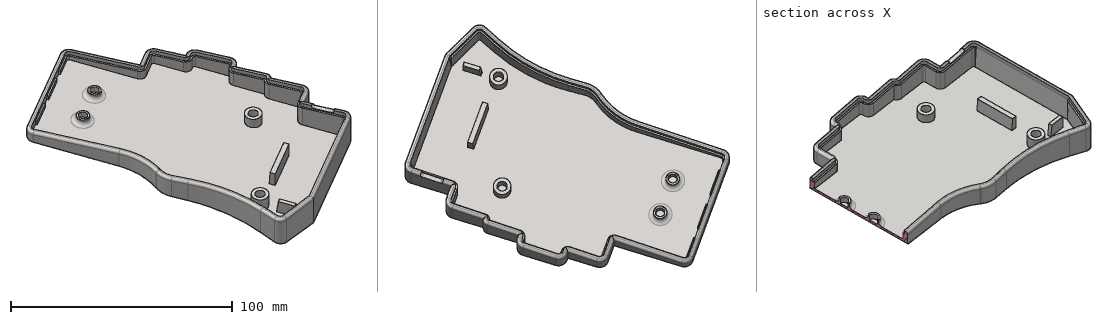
import cadquery as cq
import math

LENGTH = 137.5
HEIGHT = 16.0
LEFT_HEIGHT = 5.8
DROP = HEIGHT - LEFT_HEIGHT
SLOPE = DROP / LENGTH

FLOOR_THICKNESS = 1.7
WALL = 3.0
LIP_WALL = 2.2
LIP_DEPTH = 2.0
LEDGE_Z = HEIGHT - LIP_DEPTH
RIM_ROUND = 1.4

BACK_Y = 77.0
FRONT_Y = 19.8
RIGHT_END_Y = 18.6
SHELF_Y = 89.1
LOW_SHELF_Y = 87.1
TOWER_Y = 94.1
SHELF_X = 36.3
TOWER_LEFT_X = 54.2
TOWER_RIGHT_X = 78.0
BACK_RIGHT_X = 114.5
CORNER = 4.1
SHARP = 0.0
OUTLINE = [
    (0, FRONT_Y, CORNER),
    (0, BACK_Y, CORNER),
    (SHELF_X, BACK_Y, SHARP),
    (SHELF_X, SHELF_Y, CORNER),
    (TOWER_LEFT_X, SHELF_Y, SHARP),
    (TOWER_LEFT_X, TOWER_Y, CORNER),
    (TOWER_RIGHT_X, TOWER_Y, CORNER),
    (TOWER_RIGHT_X, SHELF_Y, SHARP),
    (94.6, SHELF_Y, 3.0),
    (95.5, LOW_SHELF_Y, SHARP),
    (BACK_RIGHT_X, LOW_SHELF_Y, CORNER),
    (BACK_RIGHT_X, BACK_Y, SHARP),
    (LENGTH, BACK_Y, CORNER),
    (LENGTH, RIGHT_END_Y, SHARP),
    (128.3, -1.2, 4.0),
    (99.6, 11.5, 81.2),
    (68.4, 10.2, 12.0),
    (55.8, FRONT_Y, 32.3),
]

LEAN_FRONT_Y = 19.3
LEAN_BACK_Y = BACK_Y - CORNER

SCREW_BOSS_CENTERS = [(93.1, 67.8), (112.0, 19.1)]
SCREW_BOSS_DIAMETER = 8.0
SCREW_HOLE_DIAMETER = 4.5
SCREW_BOSS_TOP_Z = 10.0

FLARED_BOSS_CENTERS = [(21.3, 57.0), (21.3, 39.9)]
FLARED_BOSS_DIAMETER = 6.0
FLARED_HOLE_DIAMETER = 4.1
FLARED_BOSS_TOP_Z = 13.3
FLARE_RADIUS = 2.2

RIBS = [
    (111.8, 114.7, 33.0, 53.4, 7.2, 0.4),
    (120.4, 129.0, 17.3, 19.1, 6.7, 0.8),
]

WALL_NOTCH_CENTERS_Y = [61.0, 43.9, 26.8]
WALL_NOTCH_WIDTH = 5.1

PORT_CENTER_X = 123.8
PORT_WIDTH = 10.6
PORT_DEPTH = 1.5
PORT_RADIUS = 1.0


def floor_z(x):
    return DROP + FLOOR_THICKNESS - SLOPE * x


def direction(start, end):
    dx = end[0] - start[0]
    dy = end[1] - start[1]
    size = math.hypot(dx, dy)
    return dx / size, dy / size


def step(point, heading, distance):
    return point[0] + heading[0] * distance, point[1] + heading[1] * distance


def outline():
    """Closed outline in which each rounded corner is a tangent arc."""
    path = cq.Workplane("XY")
    for i, (x, y, radius) in enumerate(OUTLINE):
        corner = (x, y)
        back = direction(corner, OUTLINE[i - 1])
        ahead = direction(corner, OUTLINE[(i + 1) % len(OUTLINE)])
        half_angle = math.acos(back[0] * ahead[0] + back[1] * ahead[1]) / 2
        tangent = radius / math.tan(half_angle)
        arc_start = step(corner, back, tangent)
        path = path.lineTo(*arc_start) if i else path.moveTo(*arc_start)
        if radius:
            bisector = direction((0, 0), (back[0] + ahead[0], back[1] + ahead[1]))
            arc_middle = step(corner, bisector, radius / math.sin(half_angle) - radius)
            path = path.threePointArc(arc_middle, step(corner, ahead, tangent))
    return path.close()


def side_profile(points, front_y, back_y):
    """Prism along Y from an outline given as (x, z) points."""
    prism = cq.Workplane("XZ").polyline(points).close().extrude(front_y - back_y)
    return prism.translate((0, front_y, 0))


def above_floor(solid):
    below = [(0, 0), (LENGTH, 0), (LENGTH, floor_z(LENGTH)), (0, floor_z(0))]
    return solid.cut(side_profile(below, 0, TOWER_Y))


def wedge_body():
    body = outline().extrude(HEIGHT).faces(">Z").edges().fillet(RIM_ROUND)
    return body.cut(side_profile([(0, 0), (LENGTH, 0), (0, DROP)], 0, TOWER_Y))


def cavity():
    lip_recess = outline().offset2D(-LIP_WALL).extrude(LIP_DEPTH).translate((0, 0, LEDGE_Z))
    well = outline().offset2D(-WALL).extrude(HEIGHT)
    wall_x = LENGTH - WALL
    lean = side_profile(
        [(wall_x, floor_z(wall_x)), (wall_x, LEDGE_Z), (LENGTH - LIP_WALL, LEDGE_Z)],
        LEAN_FRONT_Y,
        LEAN_BACK_Y,
    )
    return above_floor(well).union(lip_recess).union(lean)


def wall_notches():
    notches = (
        cq.Workplane("XY")
        .pushPoints([(LIP_WALL + WALL / 2, y) for y in WALL_NOTCH_CENTERS_Y])
        .rect(WALL, WALL_NOTCH_WIDTH)
        .extrude(LEDGE_Z)
    )
    return above_floor(notches)


def port_notch():
    return (
        cq.Workplane("XY")
        .box(PORT_WIDTH, 2 * WALL, 2 * PORT_DEPTH)
        .edges("|Y")
        .fillet(PORT_RADIUS)
        .translate((PORT_CENTER_X, BACK_Y, HEIGHT))
    )


def posts(centers, diameter, top_z):
    """Round posts that rise from the floor to a level top."""
    return above_floor(cq.Workplane("XY").pushPoints(centers).circle(diameter / 2).extrude(top_z))


def flare_feet(tray):
    """Round the foot of each flared boss out into the floor."""
    reach = FLARED_BOSS_DIAMETER / 2 + FLARE_RADIUS
    for x, y in FLARED_BOSS_CENTERS:
        z = floor_z(x)
        low = (x - reach, y - reach, z - FLARE_RADIUS / 2)
        high = (x + reach, y + reach, z + FLARE_RADIUS / 2)
        tray = tray.edges(cq.selectors.BoxSelector(low, high)).edges("not |Z").fillet(FLARE_RADIUS)
    return tray


def rib(left_x, right_x, front_y, back_y, height, lean):
    profile = [
        (left_x, floor_z(left_x)),
        (left_x + lean, floor_z(left_x + lean) + height),
        (right_x, floor_z(right_x) + height),
        (right_x, floor_z(right_x)),
    ]
    return side_profile(profile, front_y, back_y)


result = wedge_body().cut(cavity()).cut(wall_notches()).cut(port_notch())

result = result.union(posts(FLARED_BOSS_CENTERS, FLARED_BOSS_DIAMETER, FLARED_BOSS_TOP_Z))
result = flare_feet(result)
result = result.cut(posts(FLARED_BOSS_CENTERS, FLARED_HOLE_DIAMETER, FLARED_BOSS_TOP_Z))

result = result.union(posts(SCREW_BOSS_CENTERS, SCREW_BOSS_DIAMETER, SCREW_BOSS_TOP_Z))
result = result.cut(posts(SCREW_BOSS_CENTERS, SCREW_HOLE_DIAMETER, SCREW_BOSS_TOP_Z))

for rib_sizes in RIBS:
    result = result.union(rib(*rib_sizes))